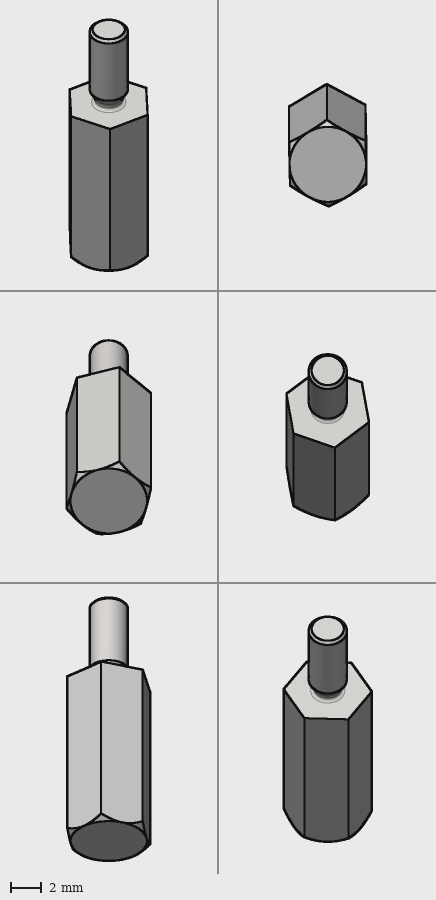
import cadquery as cq
import math

total_length = 18.0
stud_length = total_length / 3
body_length = total_length - stud_length
across_flats = 5.0
across_corners = across_flats / math.cos(math.radians(30))

stud_diameter = 2.5
tip_chamfer = 0.2
neck_diameter = 1.8
undercut_length = 1.08
undercut_angle = 30.0
neck_fillet = 0.22

stud_radius = stud_diameter / 2
neck_radius = neck_diameter / 2


def make_body():
    """Hexagonal prism, its lower corners cut by a 45 degree cone touching the flats."""
    hexagon = cq.Workplane("XY").polygon(6, across_corners).extrude(body_length)
    flat_radius = across_flats / 2
    corner_cone = (
        cq.Workplane("XZ")
        .polyline([
            (0, 0),
            (flat_radius, 0),
            (flat_radius + body_length, body_length),
            (0, body_length),
        ])
        .close()
        .revolve(360, (0, 0), (0, 1))
    )
    return hexagon.intersect(corner_cone)


def make_stud():
    """Round stud with a chamfered tip and a filleted neck at its root."""
    taper = math.radians(undercut_angle)
    taper_length = (stud_radius - neck_radius) / math.tan(taper)
    neck_top = undercut_length - taper_length
    blend_tangent = neck_fillet * math.tan(taper / 2)
    blend_center_radius = neck_radius + neck_fillet
    blend_start = neck_top - blend_tangent
    blend_middle = (
        blend_center_radius - neck_fillet * math.cos(taper / 2),
        blend_start + neck_fillet * math.sin(taper / 2),
    )
    blend_end = (
        blend_center_radius - neck_fillet * math.cos(taper),
        blend_start + neck_fillet * math.sin(taper),
    )
    root_middle_offset = neck_fillet * (1 - math.sqrt(0.5))

    return (
        cq.Workplane("XZ", origin=(0, 0, body_length))
        .moveTo(0, 0)
        .lineTo(neck_radius + neck_fillet, 0)
        .threePointArc(
            (neck_radius + root_middle_offset, root_middle_offset),
            (neck_radius, neck_fillet),
        )
        .lineTo(neck_radius, blend_start)
        .threePointArc(blend_middle, blend_end)
        .lineTo(stud_radius, undercut_length)
        .lineTo(stud_radius, stud_length - tip_chamfer)
        .lineTo(stud_radius - tip_chamfer, stud_length)
        .lineTo(0, stud_length)
        .close()
        .revolve(360, (0, 0), (0, 1))
    )


result = make_body().union(make_stud())